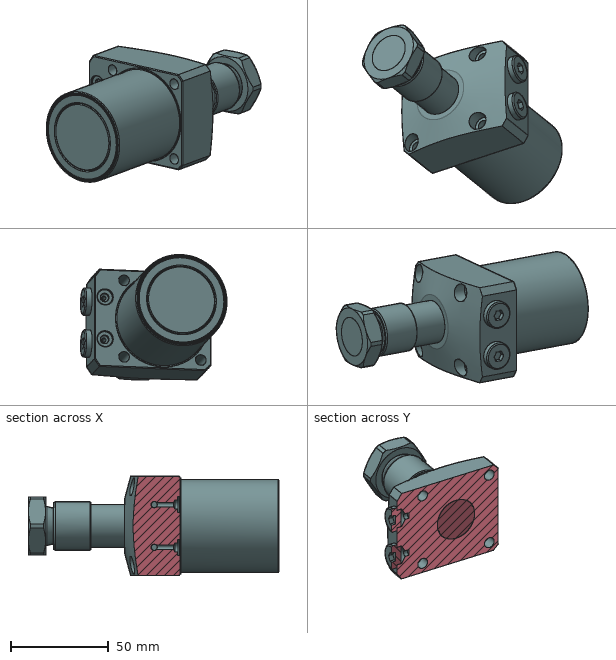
import cadquery as cq
import math


flange_width = 61.0
flange_height = 51.0
flange_depth = 28.4
flange_right = flange_height / 2
flange_left = flange_right - flange_width
flange_top = flange_height / 2
right_bevel = 3.0
left_bevel_x = 2.7
left_bevel_z = 3.9
front_edge_chamfer = 0.5
back_flat_radius = 14.1
back_cone_angle = 15.0

mount_hole_diameter = 5.5
mount_hole_pitch = 40.1
mount_recess_diameter = 9.0
mount_recess_depth = 9.0

barrel_length = 50.8
barrel_radius = 23.9
barrel_chamfer = 0.5
collar_ring_radius = 24.5
collar_ring_height = 0.4
barrel_front = -barrel_length

cover_radius = 22.5
cover_thickness = 10.3
cover_chamfer = 0.4
cover_groove_radius = 17.7
cover_groove_half_width = 0.5

rod_radius = 11.0
rod_exposed_length = 17.3
sleeve_radius = 12.5
sleeve_length = 19.0
sleeve_near_chamfer = 0.5
sleeve_far_chamfer_length = 0.8
sleeve_far_chamfer_height = 0.5
sleeve_start = flange_depth + rod_exposed_length
sleeve_end = sleeve_start + sleeve_length
stud_radius = 10.0
undercut_radius = 9.4
undercut_length = 0.6
undercut_taper = 2.6

nut_gap = 3.9
nut_thickness = 9.1
nut_across_flats = 30.0
nut_corner_radius = 16.7
nut_front_face_radius = 14.4
nut_chamfer_angle = 30.0
nut_countersink = 0.8
nut_start = sleeve_end + nut_gap
nut_end = nut_start + nut_thickness

port_pitch = 22.0
port_levels = [-port_pitch / 2, port_pitch / 2]
plug_y = 13.2
plug_head_radius = 7.1
plug_head_height = 3.5
plug_chamfer = 0.6
plug_shank_radius = 5.0
plug_shank_length = 2.7
socket_across_flats = 5.0
socket_depth = 2.6
bore_radius = 1.5
drill_half_angle = 59.0
port_x = -30.0
port_radius = 2.2
port_depth = 2.6
port_passage_radius = 1.0
bore_end = port_x + bore_radius
seal_recess_radius = 4.0
seal_recess_chamfer = 0.3
seal_recess_depth = 1.2


def revolved(points):
    """Turn a closed (radius, y) profile about the Y axis."""
    return cq.Workplane("XY").polyline(points).close().revolve(360, (0, 0, 0), (0, 1, 0))


def rod_along_y(radius, start, end, x=0.0, z=0.0):
    """A cylinder parallel to Y between two y positions."""
    axis_start = cq.Vector(x, start, z)
    return cq.Workplane(cq.Solid.makeCylinder(radius, end - start, axis_start, cq.Vector(0, 1, 0)))


def hexagon_prism(plane, across_flats, length):
    """A hexagonal prism on a plane, with two corners on the plane's local x axis."""
    across_corners = across_flats / math.cos(math.radians(30))
    return cq.Workplane(plane).polygon(6, across_corners).extrude(length)


def make_flange():
    """Bevelled block whose back face falls away as a shallow cone around a flat disc."""
    outline = [
        (flange_left + left_bevel_x, -flange_top),
        (flange_right - right_bevel, -flange_top),
        (flange_right, -flange_top + right_bevel),
        (flange_right, flange_top - right_bevel),
        (flange_right - right_bevel, flange_top),
        (flange_left + left_bevel_x, flange_top),
        (flange_left, flange_top - left_bevel_z),
        (flange_left, -flange_top + left_bevel_z),
    ]
    block = cq.Workplane("XZ").polyline(outline).close().extrude(-flange_depth)
    block = block.faces("<Y").chamfer(front_edge_chamfer)
    envelope_radius = math.hypot(flange_left, flange_top)
    cone_drop = (envelope_radius - back_flat_radius) * math.tan(math.radians(back_cone_angle))
    envelope = revolved([
        (0, 0),
        (envelope_radius, 0),
        (envelope_radius, flange_depth - cone_drop),
        (back_flat_radius, flange_depth),
        (0, flange_depth),
    ])
    return block.intersect(envelope)


def make_barrel():
    """Barrel with a low ring where it meets the flange; it runs into the flange to join it."""
    return revolved([
        (0, barrel_front),
        (barrel_radius - barrel_chamfer, barrel_front),
        (barrel_radius, barrel_front + barrel_chamfer),
        (barrel_radius, -collar_ring_height),
        (collar_ring_radius, -collar_ring_height),
        (collar_ring_radius, front_edge_chamfer),
        (0, front_edge_chamfer),
    ])


def cover_pocket():
    """Pocket for the end cover, with a chamfered mouth."""
    return revolved([
        (0, barrel_front),
        (cover_radius + cover_chamfer, barrel_front),
        (cover_radius, barrel_front + cover_chamfer),
        (cover_radius, barrel_front + cover_thickness),
        (0, barrel_front + cover_thickness),
    ])


def side_bore(z):
    """Bore from the left side: plug seat, drill cone and a narrow passage behind it."""
    seat_end = flange_left + plug_shank_length
    cone_length = (plug_shank_radius - bore_radius) / math.tan(math.radians(drill_half_angle))
    profile = [
        (flange_left, 0),
        (flange_left, plug_shank_radius),
        (seat_end, plug_shank_radius),
        (seat_end + cone_length, bore_radius),
        (bore_end, bore_radius),
        (bore_end, 0),
    ]
    bore = cq.Workplane("XY").polyline(profile).close().revolve(360, (0, 0, 0), (1, 0, 0))
    return bore.translate((0, plug_y, z))


def front_port(z):
    """Drilled port from the flange's front face to the side bore, with a seal recess at its mouth."""
    cone_length = (port_radius - port_passage_radius) / math.tan(math.radians(drill_half_angle))
    return revolved([
        (0, 0),
        (seal_recess_radius + seal_recess_chamfer, 0),
        (seal_recess_radius, seal_recess_chamfer),
        (seal_recess_radius, seal_recess_depth),
        (port_radius, seal_recess_depth),
        (port_radius, port_depth),
        (port_passage_radius, port_depth + cone_length),
        (port_passage_radius, plug_y),
        (0, plug_y),
    ]).translate((port_x, 0, z))


def mount_hole(x, z):
    """Through hole with a screw-head recess sunk from the flange's back face."""
    hole = rod_along_y(mount_hole_diameter / 2, 0, flange_depth, x, z)
    recess_floor = flange_depth - mount_recess_depth
    return hole.union(rod_along_y(mount_recess_diameter / 2, recess_floor, flange_depth, x, z))


def make_housing():
    body = make_flange().union(make_barrel())
    body = body.cut(cover_pocket())
    body = body.cut(rod_along_y(rod_radius, barrel_front + cover_thickness, flange_depth))
    for x in (-mount_hole_pitch / 2, mount_hole_pitch / 2):
        for z in (-mount_hole_pitch / 2, mount_hole_pitch / 2):
            body = body.cut(mount_hole(x, z))
    for z in port_levels:
        body = body.cut(side_bore(z)).cut(front_port(z))
    return body


def make_cover():
    """Disc with a chamfered rim and a V groove in its face."""
    groove_bottom = barrel_front + cover_groove_half_width
    return revolved([
        (0, barrel_front),
        (cover_groove_radius - cover_groove_half_width, barrel_front),
        (cover_groove_radius, groove_bottom),
        (cover_groove_radius + cover_groove_half_width, barrel_front),
        (cover_radius - cover_chamfer, barrel_front),
        (cover_radius, barrel_front + cover_chamfer),
        (cover_radius, barrel_front + cover_thickness),
        (0, barrel_front + cover_thickness),
    ])


def make_rod():
    """Rod from the cover to the sleeve's far end, then an undercut and the stud for the nut."""
    rod_start = barrel_front + cover_thickness
    undercut_end = sleeve_end + undercut_length
    stud_start = undercut_end + undercut_taper
    return revolved([
        (0, rod_start),
        (rod_radius, rod_start),
        (rod_radius, sleeve_end),
        (undercut_radius, sleeve_end),
        (undercut_radius, undercut_end),
        (stud_radius, stud_start),
        (stud_radius, nut_end),
        (0, nut_end),
    ])


def make_sleeve():
    """Sleeve around the rod with both outer rims chamfered."""
    return revolved([
        (rod_radius, sleeve_start),
        (sleeve_radius - sleeve_near_chamfer, sleeve_start),
        (sleeve_radius, sleeve_start + sleeve_near_chamfer),
        (sleeve_radius, sleeve_end - sleeve_far_chamfer_length),
        (sleeve_radius - sleeve_far_chamfer_height, sleeve_end),
        (rod_radius, sleeve_end),
    ])


def make_nut():
    """Hexagon nut with rounded, chamfered corners and a countersunk bore."""
    flat_radius = nut_across_flats / 2
    chamfer_slope = math.tan(math.radians(nut_chamfer_angle))
    front_chamfer = (nut_corner_radius - nut_front_face_radius) * chamfer_slope
    back_chamfer = (nut_corner_radius - flat_radius) * chamfer_slope
    hexagon = hexagon_prism("XZ", nut_across_flats, -nut_thickness).translate((0, nut_start, 0))
    turned_shape = revolved([
        (stud_radius + nut_countersink, nut_start),
        (nut_front_face_radius, nut_start),
        (nut_corner_radius, nut_start + front_chamfer),
        (nut_corner_radius, nut_end - back_chamfer),
        (flat_radius, nut_end),
        (stud_radius, nut_end),
        (stud_radius, nut_start + nut_countersink),
    ])
    return hexagon.intersect(turned_shape)


def make_plug(z):
    """Round-headed plug with a hexagon socket, screwed into the flange's left side."""
    head_face = flange_left - plug_head_height
    head = cq.Workplane("YZ").circle(plug_head_radius).extrude(plug_head_height)
    head = head.faces("<X").chamfer(plug_chamfer)
    shank = cq.Workplane("YZ").circle(plug_shank_radius).extrude(plug_head_height + plug_shank_length)
    socket = hexagon_prism("YZ", socket_across_flats, socket_depth)
    return head.union(shank).cut(socket).translate((head_face, plug_y, z))


housing = make_housing()
cover = make_cover()
rod = make_rod()
sleeve = make_sleeve()
nut = make_nut()
plugs = [make_plug(z) for z in port_levels]

result = cq.Compound.makeCompound([
    housing.val(),
    cover.val(),
    rod.val(),
    sleeve.val(),
    nut.val(),
    *[plug.val() for plug in plugs],
])